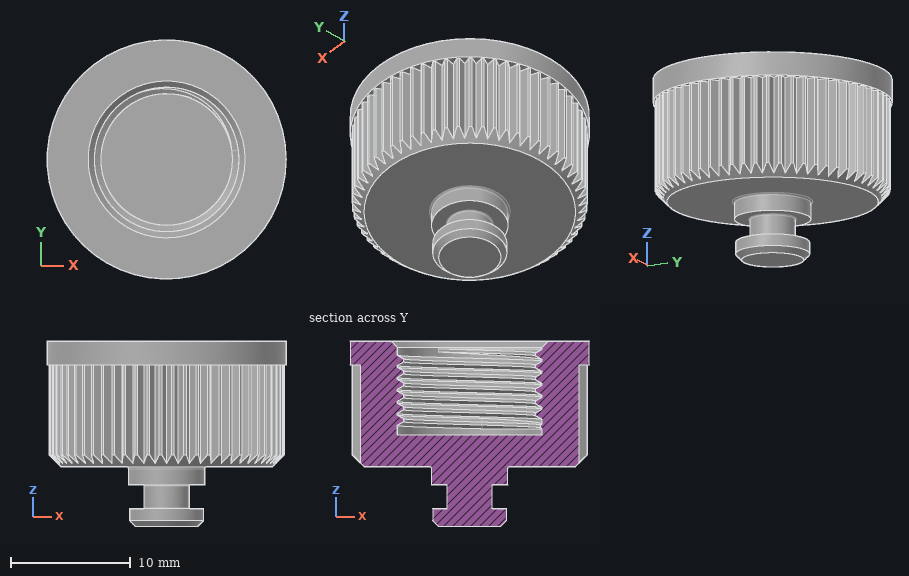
import cadquery as cq
import math

flange_radius = 10.0
flange_height = 2.0
head_bottom = -10.5

knurl_radius = 9.85
knurl_depth = 0.7
knurl_count = 60
groove_half_angle = math.radians(30)
head_chamfer = 1.0

collar_radius = 3.2
collar_bottom = -12.0
collar_fillet = 0.15
neck_radius = 1.9
neck_bottom = -14.0
neck_fillet = 0.08
tip_radius = 3.1
tip_bottom = -15.5
tip_chamfer = 0.5

mouth_radius = 6.55
bore_radius = 6.05
socket_depth = 7.82
crest_radius = 5.5
pitch = 1.0
root_gap = pitch / 8
flank_angle = math.radians(30)
thread_turns = 5.8
thread_start_angle = 7.6
run_out_angle = 120.0
root_overlap = 0.05

mouth_depth = mouth_radius - bore_radius
tooth_width = pitch - root_gap
thread_top = -mouth_depth - root_gap


def make_head():
    flange = cq.Workplane("XY").circle(flange_radius).extrude(-flange_height)
    grip = (
        cq.Workplane("XY")
        .workplane(offset=-flange_height)
        .circle(knurl_radius)
        .extrude(head_bottom + flange_height)
        .faces("<Z")
        .chamfer(head_chamfer)
    )
    overshoot = 0.2
    mouth_half_width = (knurl_depth + overshoot) * math.tan(groove_half_angle)
    groove = (
        cq.Workplane("XY")
        .workplane(offset=-flange_height)
        .moveTo(knurl_radius - knurl_depth, 0)
        .lineTo(knurl_radius + overshoot, mouth_half_width)
        .lineTo(knurl_radius + overshoot, -mouth_half_width)
        .close()
        .extrude(head_bottom + flange_height)
    )
    step = 360 / knurl_count
    grooves = [groove.val().rotate((0, 0, 0), (0, 0, 1), i * step) for i in range(knurl_count)]
    grip = cq.Workplane(grip.val().cut(*grooves))
    return flange.union(grip)


def fillet_arc(outline, mid_angle, radius, center, end):
    angle = math.radians(mid_angle)
    middle = (center[0] + radius * math.cos(angle), center[1] + radius * math.sin(angle))
    return outline.threePointArc(middle, end)


def make_stud():
    outline = cq.Workplane("XZ").moveTo(0, head_bottom)
    outline = outline.lineTo(collar_radius + collar_fillet, head_bottom)
    outline = fillet_arc(
        outline, 135, collar_fillet,
        (collar_radius + collar_fillet, head_bottom - collar_fillet),
        (collar_radius, head_bottom - collar_fillet),
    )
    outline = (
        outline.lineTo(collar_radius, collar_bottom)
        .lineTo(neck_radius + neck_fillet, collar_bottom)
    )
    outline = fillet_arc(
        outline, 135, neck_fillet,
        (neck_radius + neck_fillet, collar_bottom - neck_fillet),
        (neck_radius, collar_bottom - neck_fillet),
    )
    outline = outline.lineTo(neck_radius, neck_bottom + neck_fillet)
    outline = fillet_arc(
        outline, 225, neck_fillet,
        (neck_radius + neck_fillet, neck_bottom + neck_fillet),
        (neck_radius + neck_fillet, neck_bottom),
    )
    return (
        outline.lineTo(tip_radius, neck_bottom)
        .lineTo(tip_radius, tip_bottom + tip_chamfer)
        .lineTo(tip_radius - tip_chamfer, tip_bottom)
        .lineTo(0, tip_bottom)
        .close()
        .revolve(360, (0, 0, 0), (0, 1, 0))
    )


def make_socket():
    return (
        cq.Workplane("XZ")
        .lineTo(mouth_radius, 0)
        .lineTo(bore_radius, -mouth_depth)
        .lineTo(bore_radius, -socket_depth)
        .lineTo(0, -socket_depth)
        .close()
        .revolve(360, (0, 0, 0), (0, 1, 0))
    )


def tooth_profile():
    crest_drop = (bore_radius - crest_radius) * math.tan(flank_angle)
    root_rise = root_overlap * math.tan(flank_angle)
    return (
        cq.Workplane("XZ")
        .moveTo(bore_radius + root_overlap, root_rise)
        .lineTo(crest_radius, -crest_drop)
        .lineTo(crest_radius, crest_drop - tooth_width)
        .lineTo(bore_radius + root_overlap, -root_rise - tooth_width)
        .close()
    )


def helical_tooth(turns):
    helix = cq.Wire.makeHelix(pitch, turns * pitch, crest_radius)
    return tooth_profile().sweep(cq.Workplane(helix), isFrenet=True)


def make_run_out():
    retreat = bore_radius + root_overlap - crest_radius

    def path_point(t):
        radius = crest_radius + retreat * t
        angle = math.radians(run_out_angle * t)
        return (radius * math.cos(angle), radius * math.sin(angle), retreat * t * math.tan(flank_angle))

    path = cq.Workplane("XY").parametricCurve(path_point, N=24, makeWire=True)
    guide = path.translate((0, 0, -pitch))
    return tooth_profile().sweep(path, auxSpine=guide)


def make_thread():
    rise = thread_turns * pitch
    turn = 360 * thread_turns
    z_axis = ((0, 0, 0), (0, 0, 1))
    run_out = make_run_out()
    upper_end = run_out.rotate(*z_axis, turn).translate((0, 0, rise))
    lower_end = run_out.rotate((0, 0, 0), (1, 0, 0), 180).translate((0, 0, -tooth_width))
    thread = helical_tooth(thread_turns).union(upper_end).union(lower_end)
    return thread.rotate(*z_axis, thread_start_angle - turn).translate((0, 0, thread_top - rise))


result = make_head().union(make_stud()).cut(make_socket()).union(make_thread())